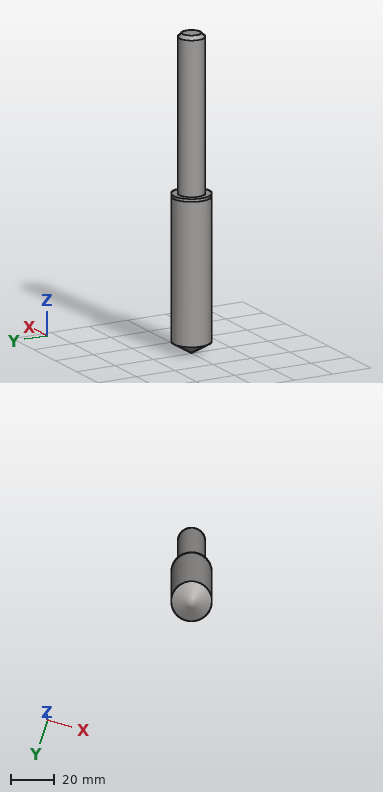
import cadquery as cq
import math

total_length = 152.4
body_diameter = 18.6

point_angle = 118.0
point_height = body_diameter / 2 / math.tan(math.radians(point_angle / 2))

shank_diameter = 12.6
shank_length = 76.4
collar_thickness = 1.4
chamfer_size = 1.8

shoulder_height = total_length - shank_length
joint_height = shoulder_height - collar_thickness


def make_pointed_body():
    """Solid cylinder with a conical point at its lower end."""
    radius = body_diameter / 2
    half_profile = (
        cq.Workplane("XZ")
        .lineTo(radius, point_height)
        .lineTo(radius, joint_height)
        .lineTo(0, joint_height)
        .close()
    )
    return half_profile.revolve(360, (0, 0, 0), (0, 1, 0))


def make_shank():
    """Chamfered shank on a collar that sits flat on the pointed body."""
    collar = cq.Workplane("XY", origin=(0, 0, joint_height)).circle(body_diameter / 2).extrude(collar_thickness)
    shank = collar.faces(">Z").workplane().circle(shank_diameter / 2).extrude(shank_length)
    return shank.faces(">Z").edges().chamfer(chamfer_size)


pointed_body = make_pointed_body()
shank = make_shank()

result = cq.Compound.makeCompound([pointed_body.val(), shank.val()])